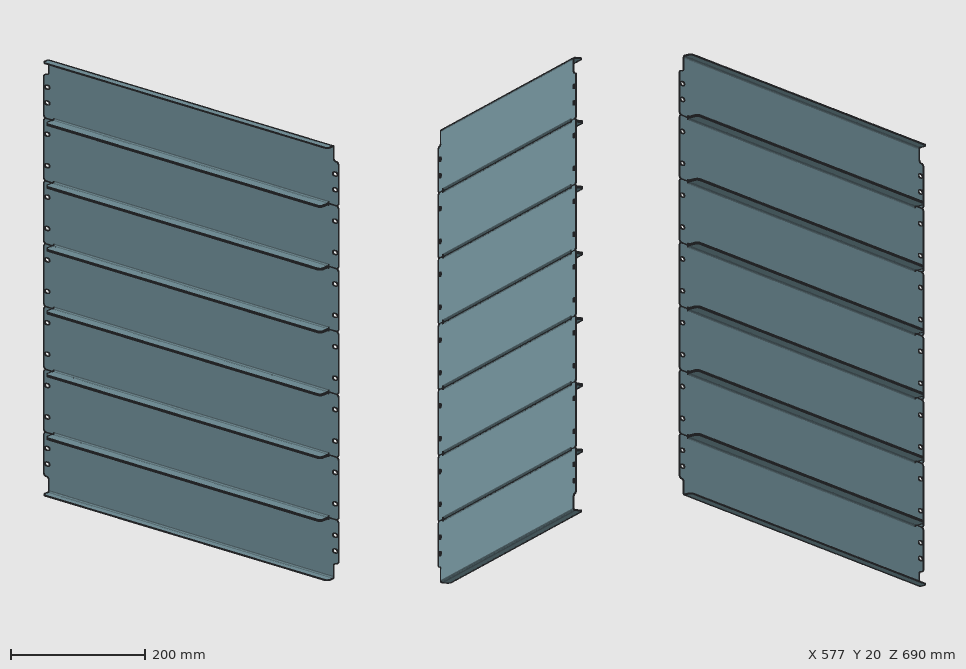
import cadquery as cq

width = 577.0
height = 690.0
sheet = 1.5
inner_bend = 1.5
outer_bend = inner_bend + sheet

inner_panel_count = 5
inner_panel_height = 100.0
inner_stack_height = inner_panel_count * inner_panel_height
end_panel_height = (height - inner_stack_height) / 2
corner_radius = 5.0

step_width = 10.0
step_height = 25.0
step_radius = 4.0

joint_flange_depth = 20.0
joint_flange_length = width - 2 * 19.0
free_flange_depth = 15.0
free_flange_length = width - 2 * step_width
flange_corner_radius = 5.5

slot_length = 9.0
slot_height = 6.0
slot_inset = 7.0
slot_from_joint = inner_panel_height / 4
second_slot_from_joint = 2 * slot_from_joint


def flat_sheet(length, bottom, top):
    """Flat sheet between two Z levels, centred on X = 0, with its back face on Y = 0."""
    blank = cq.Workplane("XY").box(length, sheet, top - bottom)
    return blank.translate((0, -sheet / 2, (bottom + top) / 2))


def bent_flange(edge, inward, length, depth):
    """Bend and flange along the panel edge at Z = edge; inward (+1 or -1) points into the panel."""
    bend_start = edge + inward * outer_bend
    inner_face = edge + inward * sheet
    profile = (
        cq.Workplane("YZ")
        .workplane(offset=-length / 2)
        .moveTo(0, bend_start)
        .radiusArc((-outer_bend, edge), inward * outer_bend)
        .lineTo(-depth, edge)
        .lineTo(-depth, inner_face)
        .lineTo(-outer_bend, inner_face)
        .radiusArc((-sheet, bend_start), -inward * inner_bend)
        .close()
    )
    return profile.extrude(length).edges("|Z and <Y").fillet(flange_corner_radius)


def add_joint_flange(body, edge, inward):
    """Replace the strip of flat sheet along a joint by a bend and a flange."""
    strip = flat_sheet(joint_flange_length, edge - outer_bend, edge + outer_bend)
    flange = bent_flange(edge, inward, joint_flange_length, joint_flange_depth)
    return body.cut(strip).union(flange)


def cut_slots(body, levels):
    """Cut slots beside both side edges at the given Z levels."""
    slot_x = width / 2 - slot_inset
    centres = [(side * slot_x, level) for level in levels for side in (-1, 1)]
    slots = cq.Workplane("XZ").pushPoints(centres).slot2D(slot_length, slot_height).extrude(sheet)
    return body.cut(slots)


def make_inner_panel(bottom):
    """Panel with a joint flange along both its lower and upper edges."""
    top = bottom + inner_panel_height
    body = flat_sheet(width, bottom, top).edges("|Y").fillet(corner_radius)
    body = add_joint_flange(body, bottom, 1)
    body = add_joint_flange(body, top, -1)
    return cut_slots(body, [bottom + slot_from_joint, top - slot_from_joint])


def make_bottom_panel():
    """End panel with a stepped free edge below and a joint flange above."""
    bottom = -height / 2
    shoulder = bottom + step_height
    joint = bottom + end_panel_height
    body = flat_sheet(width, shoulder, joint).edges("|Y").fillet(corner_radius)
    body = body.union(flat_sheet(free_flange_length, bottom + outer_bend, shoulder))
    for side in (-1, 1):
        step_root = (side * free_flange_length / 2, -sheet / 2, shoulder)
        body = body.edges(cq.selectors.NearestToPointSelector(step_root)).fillet(step_radius)
    body = body.union(bent_flange(bottom, 1, free_flange_length, free_flange_depth))
    body = add_joint_flange(body, joint, -1)
    return cut_slots(body, [joint - slot_from_joint, joint - second_slot_from_joint])


bottom_panel = make_bottom_panel()
top_panel = bottom_panel.rotate((0, 0, 0), (0, 1, 0), 180)

inner_panels = []
for index in range(inner_panel_count):
    panel_bottom = index * inner_panel_height - inner_stack_height / 2
    inner_panels.append(make_inner_panel(panel_bottom).val())

result = cq.Compound.makeCompound([bottom_panel.val(), *inner_panels, top_panel.val()])